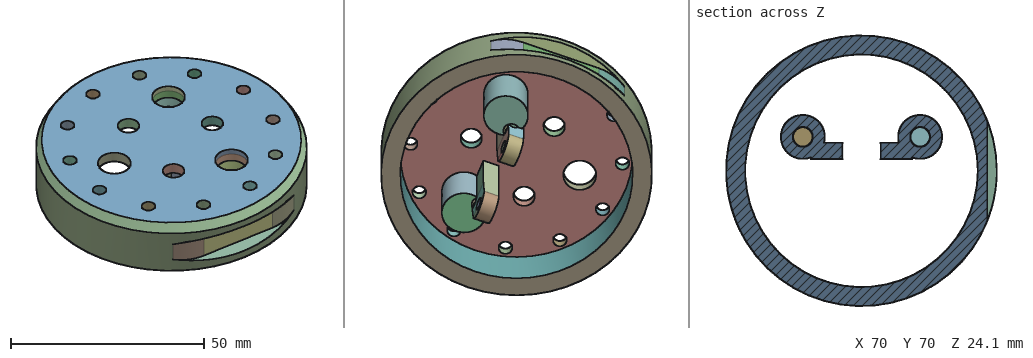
import cadquery as cq
import math

CAP_RADIUS = 35.0
CAP_HEIGHT = 15.0
BEVEL_WIDTH = 1.5
BEVEL_HEIGHT = 2.45
PLATE_THICKNESS = 3.0
CAVITY_RADIUS = 30.0
PLATE_UNDERSIDE = CAP_HEIGHT - PLATE_THICKNESS

RIM_HOLE_COUNT = 12
RIM_HOLE_DIAMETER = 3.5
RIM_HOLE_CIRCLE_RADIUS = 27.5
SENSOR_HOLE_DIAMETER = 5.5
SENSOR_HOLE_CIRCLE_RADIUS = 12.5
SENSOR_HOLE_ANGLES = (90, 210, 330)
PORT_DIAMETER = 8.5
PORT_CIRCLE_RADIUS = 17.5
OPEN_PORT_ANGLE = 270
CUP_ANGLES = (30, 150)

CUP_WALL = 1.5
CUP_RIM_DEPTH = 1.5
CUP_NECK_DIAMETER = 7.85
CUP_NECK_DEPTH = 3.5
CUP_THROAT_DIAMETER = 5.7
CUP_THROAT_DEPTH = 5.6
CUP_FLOOR_DIAMETER = 5.0

NOTCH_FLOOR_X = 32.0
NOTCH_FLOOR_HALF_LENGTH = 10.4
NOTCH_HALF_LENGTH = 18.5
NOTCH_END_RADIUS = 15.4
NOTCH_CENTRE_Z = 6.4
NOTCH_FLOOR_HALF_HEIGHT = 3.2
NOTCH_SIDE_SLOPE = 0.3
NOTCH_OVERCUT = 0.2

LUG_CENTRE_X = 8.9
LUG_RADIUS = 4.0
LUG_EYE_DIAMETER = 3.2
LUG_EYE_DEPTH = 5.05
LUG_FRONT_Y = 3.0
LUG_BACK_Y = 7.1
LUG_DRAFT = 0.2

FLARE_X = 11.5
FLARE_Y = 5.9
FLARE_TOP_RADIUS = 2.0
FLARE_TIP_RADIUS = 1.55
FLARE_DEPTH = 0.85


def polar(radius, degrees):
    angle = math.radians(degrees)
    return (radius * math.cos(angle), radius * math.sin(angle))


def make_cap():
    bevel_start_z = CAP_HEIGHT - BEVEL_HEIGHT
    half_section = [
        (CAVITY_RADIUS, 0),
        (CAP_RADIUS, 0),
        (CAP_RADIUS, bevel_start_z),
        (CAP_RADIUS - BEVEL_WIDTH, CAP_HEIGHT),
        (0, CAP_HEIGHT),
        (0, PLATE_UNDERSIDE),
        (CAVITY_RADIUS, PLATE_UNDERSIDE),
    ]
    return cq.Workplane("XZ").polyline(half_section).close().revolve(360, (0, 0, 0), (0, 1, 0))


def make_notch():
    """Cutter for the +X notch: its plan shape trimmed to a height that grows outwards."""
    outer_x = CAP_RADIUS + NOTCH_OVERCUT
    end_x = math.sqrt(CAP_RADIUS**2 - NOTCH_HALF_LENGTH**2)
    plan = (
        cq.Workplane("XY")
        .moveTo(outer_x, -NOTCH_HALF_LENGTH)
        .lineTo(end_x, -NOTCH_HALF_LENGTH)
        .radiusArc((NOTCH_FLOOR_X, -NOTCH_FLOOR_HALF_LENGTH), -NOTCH_END_RADIUS)
        .lineTo(NOTCH_FLOOR_X, NOTCH_FLOOR_HALF_LENGTH)
        .radiusArc((end_x, NOTCH_HALF_LENGTH), -NOTCH_END_RADIUS)
        .lineTo(outer_x, NOTCH_HALF_LENGTH)
        .close()
        .extrude(CAP_HEIGHT)
    )

    def half_height(x):
        return NOTCH_FLOOR_HALF_HEIGHT + NOTCH_SIDE_SLOPE * (x - NOTCH_FLOOR_X)

    inner_x = end_x - NOTCH_OVERCUT
    side = (
        cq.Workplane("XZ")
        .polyline([
            (inner_x, NOTCH_CENTRE_Z - half_height(inner_x)),
            (outer_x, NOTCH_CENTRE_Z - half_height(outer_x)),
            (outer_x, NOTCH_CENTRE_Z + half_height(outer_x)),
            (inner_x, NOTCH_CENTRE_Z + half_height(inner_x)),
        ])
        .close()
        .extrude(CAP_RADIUS, both=True)
    )
    return plan.intersect(side)


def make_lug():
    """Lug on the +X side, running up through the cavity to the plate."""
    inner_x = LUG_CENTRE_X - LUG_RADIUS
    outer_x = LUG_CENTRE_X + LUG_RADIUS
    front_outline = (
        cq.Workplane("XZ")
        .moveTo(inner_x, PLATE_UNDERSIDE)
        .lineTo(inner_x, -LUG_EYE_DEPTH)
        .threePointArc((LUG_CENTRE_X, -LUG_EYE_DEPTH - LUG_RADIUS), (outer_x, -LUG_EYE_DEPTH))
        .lineTo(outer_x + LUG_DRAFT, 0)
        .lineTo(outer_x + LUG_DRAFT, PLATE_UNDERSIDE)
        .close()
        .extrude(-CAP_RADIUS)
    )
    side_outline = (
        cq.Workplane("YZ")
        .polyline([
            (LUG_FRONT_Y, -LUG_EYE_DEPTH - LUG_RADIUS),
            (LUG_BACK_Y, -LUG_EYE_DEPTH - LUG_RADIUS),
            (LUG_BACK_Y, -LUG_EYE_DEPTH),
            (LUG_BACK_Y + LUG_DRAFT, 0),
            (LUG_BACK_Y + LUG_DRAFT, PLATE_UNDERSIDE),
            (LUG_FRONT_Y, PLATE_UNDERSIDE),
        ])
        .close()
        .extrude(CAP_RADIUS)
    )
    eye = (
        cq.Workplane("XZ")
        .center(LUG_CENTRE_X, -LUG_EYE_DEPTH)
        .circle(LUG_EYE_DIAMETER / 2)
        .extrude(-CAP_RADIUS)
    )
    flare_tip = cq.Vector(FLARE_X, FLARE_Y, -FLARE_DEPTH)
    flare = cq.Solid.makeCone(FLARE_TIP_RADIUS, FLARE_TOP_RADIUS, FLARE_DEPTH, pnt=flare_tip)
    return front_outline.intersect(side_outline).cut(eye).union(cq.Workplane(flare))


def make_cup_boss(x, y):
    boss_radius = PORT_DIAMETER / 2 + CUP_WALL
    return cq.Workplane("XY").center(x, y).circle(boss_radius).extrude(PLATE_UNDERSIDE)


def make_cup_hollow(x, y):
    half_section = [
        (0, CUP_WALL),
        (CUP_FLOOR_DIAMETER / 2, CUP_WALL),
        (CUP_THROAT_DIAMETER / 2, CAP_HEIGHT - CUP_THROAT_DEPTH),
        (CUP_NECK_DIAMETER / 2, CAP_HEIGHT - CUP_NECK_DEPTH),
        (PORT_DIAMETER / 2, CAP_HEIGHT - CUP_RIM_DEPTH),
        (PORT_DIAMETER / 2, CAP_HEIGHT),
        (0, CAP_HEIGHT),
    ]
    hollow = cq.Workplane("XZ").polyline(half_section).close().revolve(360, (0, 0, 0), (0, 1, 0))
    return hollow.translate((x, y, 0))


def make_plate_holes(diameter, centres):
    return (
        cq.Workplane("XY", origin=(0, 0, PLATE_UNDERSIDE))
        .pushPoints(centres)
        .circle(diameter / 2)
        .extrude(PLATE_THICKNESS)
    )


cup_centres = [polar(PORT_CIRCLE_RADIUS, angle) for angle in CUP_ANGLES]
sensor_hole_centres = [polar(SENSOR_HOLE_CIRCLE_RADIUS, angle) for angle in SENSOR_HOLE_ANGLES]
rim_hole_step = 360 / RIM_HOLE_COUNT
rim_hole_centres = [
    polar(RIM_HOLE_CIRCLE_RADIUS, (index + 0.5) * rim_hole_step) for index in range(RIM_HOLE_COUNT)
]

result = make_cap()

lug = make_lug()
result = result.union(lug).union(lug.mirror("YZ"))
for centre in cup_centres:
    result = result.union(make_cup_boss(*centre))

for centre in cup_centres:
    result = result.cut(make_cup_hollow(*centre))
result = result.cut(make_plate_holes(PORT_DIAMETER, [polar(PORT_CIRCLE_RADIUS, OPEN_PORT_ANGLE)]))
result = result.cut(make_plate_holes(SENSOR_HOLE_DIAMETER, sensor_hole_centres))
result = result.cut(make_plate_holes(RIM_HOLE_DIAMETER, rim_hole_centres))

notch = make_notch()
result = result.cut(notch).cut(notch.mirror("YZ"))